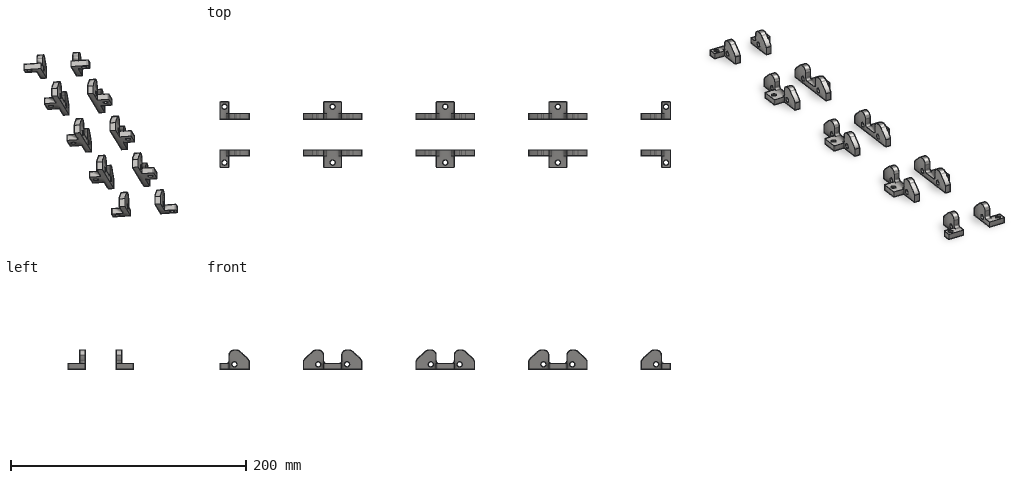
import cadquery as cq
import math

ROW_LENGTH = 383.0
PITCH = ROW_LENGTH / 4
INNER_BRACKET_X = [-PITCH, 0, PITCH]
ROW_DEPTH = 56.0

FOOT_DEPTH = 15.0
FOOT_WIDTH = 15.5
FOOT_THICKNESS = 5.0
FOOT_CORNER_RADIUS = 0.8
PLATE_THICKNESS = 5.0
PLATE_FACE_Y = ROW_DEPTH / 2 - FOOT_DEPTH

EAR_WIDTH = 17.2
EAR_HEIGHT = 16.5
EAR_ROUNDING = 4.5
EAR_TOP_FLAT = 1.5
EAR_SLOPE_TOP_ANGLE = 48.0
EAR_SLOPE_END_ANGLE = 65.0
EAR_SHOULDER_HEIGHT = 7.0
EAR_ROOT_FILLET = 2.3

HOLE_DIAMETER = 4.2
EAR_HOLE_INSET = 4.5
EAR_HOLE_HEIGHT = 4.2
FOOT_HOLE_INSET = 4.2


def downhill(steepness):
    """Direction pointing outward and down at this angle below horizontal."""
    return (math.cos(steepness), -math.sin(steepness))


def ear(wall_x):
    """Rounded ear rising from wall_x toward +X, with its cross hole and root fillet."""
    outer_x = wall_x + EAR_WIDTH
    radius = EAR_ROUNDING
    rounding_z = EAR_HEIGHT - radius
    inner_centre_x = wall_x + radius
    outer_centre_x = inner_centre_x + EAR_TOP_FLAT
    top_steepness = math.radians(EAR_SLOPE_TOP_ANGLE)
    end_steepness = math.radians(EAR_SLOPE_END_ANGLE)

    def outer_rounding_point(angle):
        """Point of the outer rounding at this angle from its highest point."""
        return (outer_centre_x + radius * math.sin(angle), rounding_z + radius * math.cos(angle))

    body = (
        cq.Workplane("XZ", origin=(0, PLATE_FACE_Y, 0))
        .moveTo(outer_x, 0)
        .lineTo(wall_x, 0)
        .lineTo(wall_x, rounding_z)
        .radiusArc((inner_centre_x, EAR_HEIGHT), radius)
        .lineTo(outer_centre_x, EAR_HEIGHT)
        .threePointArc(outer_rounding_point(top_steepness / 2), outer_rounding_point(top_steepness))
        .spline(
            [(outer_x, EAR_SHOULDER_HEIGHT)],
            tangents=[downhill(top_steepness), downhill(end_steepness)],
            includeCurrent=True,
        )
        .close()
        .extrude(-PLATE_THICKNESS)
    )
    hole = (
        cq.Workplane("XZ", origin=(wall_x + EAR_HOLE_INSET, PLATE_FACE_Y, EAR_HOLE_HEIGHT))
        .circle(HOLE_DIAMETER / 2)
        .extrude(-PLATE_THICKNESS)
    )
    return body.cut(hole).union(root_fillet(wall_x))


def root_fillet(wall_x):
    """Concave fillet between the ear's inner wall and the top of the foot."""
    radius = EAR_ROOT_FILLET
    middle = radius * (1 - math.sqrt(0.5))
    return (
        cq.Workplane("XZ", origin=(wall_x, PLATE_FACE_Y, FOOT_THICKNESS))
        .lineTo(0, radius)
        .threePointArc((-middle, middle), (-radius, 0))
        .close()
        .extrude(-PLATE_THICKNESS)
    )


def foot(start_x, width):
    """Flat foot from start_x toward +X with rounded free corners and a screw hole on its centre line."""
    block = cq.Workplane("XY").box(width, FOOT_DEPTH, FOOT_THICKNESS, centered=False)
    rounded = block.edges("|Z and >Y").fillet(FOOT_CORNER_RADIUS)
    hole = (
        cq.Workplane("XY")
        .center(width / 2, FOOT_DEPTH - FOOT_HOLE_INSET)
        .circle(HOLE_DIAMETER / 2)
        .extrude(FOOT_THICKNESS)
    )
    return rounded.cut(hole).translate((start_x, PLATE_FACE_Y, 0))


def inner_bracket():
    """Full-width foot with an ear on either side, centred on X = 0."""
    right_ear = ear(FOOT_WIDTH / 2)
    left_ear = right_ear.mirror("YZ")
    return foot(-FOOT_WIDTH / 2, FOOT_WIDTH).union(right_ear).union(left_ear)


def end_bracket():
    """Half-width foot at the -X end of the row, with one ear pointing along +X."""
    start_x = -ROW_LENGTH / 2
    half_width = FOOT_WIDTH / 2
    return foot(start_x, half_width).union(ear(start_x + half_width))


inner_brackets = []
for bracket_x in INNER_BRACKET_X:
    bracket = inner_bracket().translate((bracket_x, 0, 0))
    inner_brackets += [bracket.val(), bracket.mirror("XZ").val()]

end_brackets = []
for bracket in (end_bracket(), end_bracket().mirror("YZ")):
    end_brackets += [bracket.val(), bracket.mirror("XZ").val()]

result = cq.Compound.makeCompound([*inner_brackets, *end_brackets])